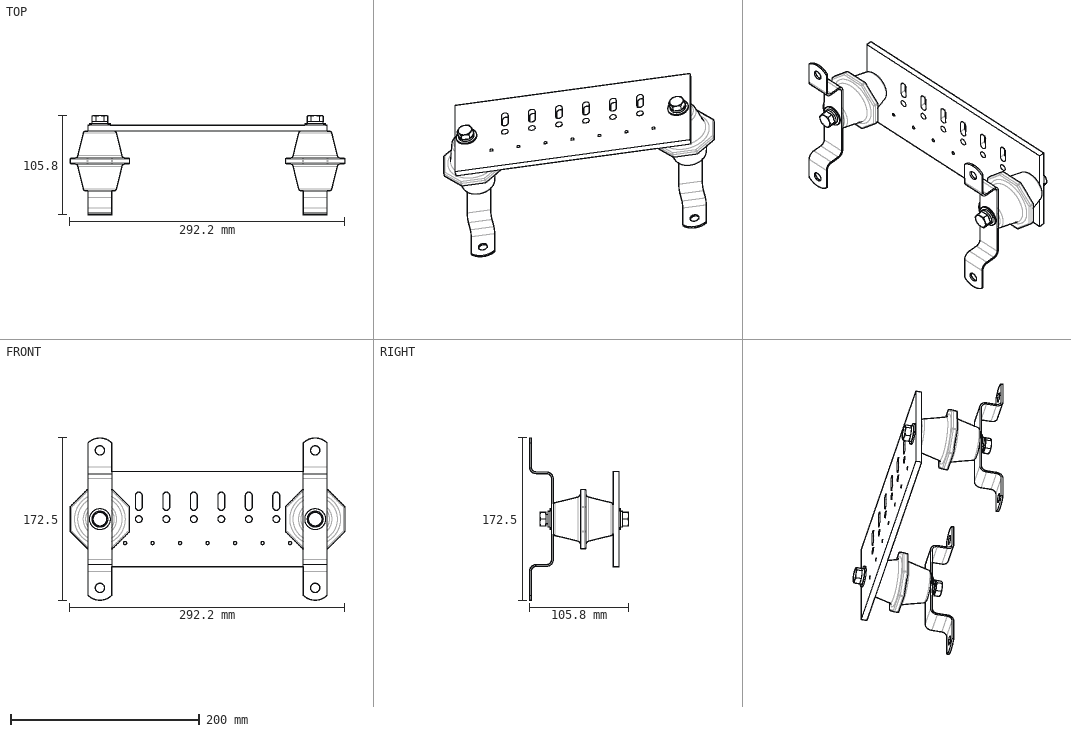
import cadquery as cq
import math


mount_spacing = 228.7
insulator_length = 63.5
flange_sides = 8
flange_width = 63.5
flange_thickness = 6.0
flange_round = 1.5
cone_root_radius = 24.2
cone_end_radius = 17.2
root_round = 3.5
end_round = 2.5

stud_diameter = 10.2
washer_diameter = 22.2
washer_thickness = 1.5
lock_washer_diameter = 17.0
lock_washer_thickness = 2.3
hex_flats = 15.0
hex_height = 6.5
hex_face_diameter = 14.3
hex_chamfer_angle = 30
bracket_side_gap = 2.0

plate_height = 101.7
plate_thickness = 6.5
hole_pitch = 29.2
slot_count = 6
slot_width = 7.0
slot_length = 19.3
slot_height = 19.0
small_hole_count = 7
small_hole_diameter = 3.2
small_hole_drop = 25.5

bracket_width = 25.5
bracket_height = 172.5
sheet = 2.0
bend_inner_radius = 5.3
step_half_height = 50.2
step_depth = 25.5
foot_end_radius = 17.8
foot_hole_diameter = 9.5
foot_hole_height = 73.0

half_length = insulator_length / 2
half_flange = flange_thickness / 2
plate_length = mount_spacing + bracket_width
plate_back = half_length + plate_thickness
bracket_front = -half_length - sheet
mount_places = [-mount_spacing / 2, mount_spacing / 2]


def disc(diameter, start_y, end_y):
    """Cylinder along Y between two Y positions."""
    return (
        cq.Workplane("XZ", origin=(0, start_y, 0))
        .circle(diameter / 2)
        .extrude(start_y - end_y)
    )


def row(count):
    """X positions of an evenly pitched row centred on X = 0."""
    return [(i - (count - 1) / 2) * hole_pitch for i in range(count)]


def make_plate():
    plate = cq.Workplane("XY").box(plate_length, plate_thickness, plate_height)
    plate = plate.translate((0, half_length + plate_thickness / 2, 0))

    face = cq.Workplane("XZ", origin=(0, plate_back, 0))
    slots = (
        face.pushPoints([(x, slot_height) for x in row(slot_count)])
        .slot2D(slot_length, slot_width, 90)
        .extrude(plate_thickness)
    )
    round_holes = (
        face.pushPoints([(x, 0) for x in row(slot_count)])
        .circle(slot_width / 2)
        .extrude(plate_thickness)
    )
    small_holes = (
        face.pushPoints([(x, -small_hole_drop) for x in row(small_hole_count)])
        .circle(small_hole_diameter / 2)
        .extrude(plate_thickness)
    )
    stud_holes = (
        face.pushPoints([(x, 0) for x in mount_places])
        .circle(stud_diameter / 2)
        .extrude(plate_thickness)
    )
    return plate.cut(slots).cut(round_holes).cut(small_holes).cut(stud_holes)


def make_flange():
    corner_diameter = flange_width / math.cos(math.pi / flange_sides)
    flange = (
        cq.Workplane("XZ", origin=(0, half_flange, 0))
        .polygon(flange_sides, corner_diameter)
        .extrude(flange_thickness)
        .rotate((0, 0, 0), (0, 1, 0), 180 / flange_sides)
    )
    return flange.edges().fillet(flange_round)


def make_cones():
    """Both tapered halves of the insulator, flared into the flange and rounded at the ends."""
    taper = math.atan2(cone_root_radius - cone_end_radius, half_length - half_flange)
    tangent_factor = math.tan((math.pi / 2 - taper) / 2)
    root_tangent = root_round * tangent_factor
    end_tangent = end_round * tangent_factor
    flare_radius = cone_root_radius + root_tangent
    flare_top = (
        cone_root_radius - root_tangent * math.sin(taper),
        half_flange + root_tangent * math.cos(taper),
    )
    end_start = (
        cone_end_radius + end_tangent * math.sin(taper),
        half_length - end_tangent * math.cos(taper),
    )
    cone = (
        cq.Workplane("XY")
        .lineTo(flare_radius, 0)
        .lineTo(flare_radius, half_flange)
        .radiusArc(flare_top, root_round)
        .lineTo(*end_start)
        .radiusArc((cone_end_radius - end_tangent, half_length), -end_round)
        .lineTo(0, half_length)
        .close()
        .revolve(360, (0, 0, 0), (0, 1, 0))
    )
    return cone.union(cone.mirror("XZ"))


def make_hex_head(start_y):
    """Hex head with corners on X, its outer corners turned down by a shallow cone."""
    corner_radius = hex_flats / 2 / math.cos(math.pi / 6)
    face_radius = hex_face_diameter / 2
    corner_drop = (corner_radius - face_radius) * math.tan(math.radians(hex_chamfer_angle))
    end_y = start_y + hex_height
    prism = (
        cq.Workplane("XZ", origin=(0, start_y, 0))
        .polygon(6, 2 * corner_radius)
        .extrude(-hex_height)
    )
    envelope = (
        cq.Workplane("XY")
        .moveTo(0, start_y)
        .lineTo(corner_radius, start_y)
        .lineTo(corner_radius, end_y - corner_drop)
        .lineTo(face_radius, end_y)
        .lineTo(0, end_y)
        .close()
        .revolve(360, (0, 0, 0), (0, 1, 0))
    )
    return prism.intersect(envelope)


def make_fastener(seat, gap):
    """Stud, washers and hex head behind a seat face at Y = seat; gap leaves bare stud below the head."""
    washer_end = seat + washer_thickness
    lock_end = washer_end + lock_washer_thickness
    head_start = lock_end + gap
    return (
        disc(stud_diameter, 0, head_start)
        .union(disc(washer_diameter, seat, washer_end))
        .union(disc(lock_washer_diameter, washer_end, lock_end))
        .union(make_hex_head(head_start))
    )


def make_insulator(x):
    rear = make_fastener(plate_back, 0)
    front = make_fastener(-bracket_front, bracket_side_gap).mirror("XZ")
    body = make_flange().union(make_cones()).union(rear).union(front)
    return body.translate((x, 0, 0))


def make_bracket(x):
    foot_front = -half_length - step_depth
    foot_back = foot_front + sheet
    leg_inner = step_half_height - sheet
    half_height = bracket_height / 2
    bend_outer_radius = bend_inner_radius + sheet

    strip = (
        cq.Workplane("YZ", origin=(-bracket_width / 2, 0, 0))
        .moveTo(-half_length, 0)
        .lineTo(-half_length, step_half_height - bend_outer_radius)
        .radiusArc((-half_length - bend_outer_radius, step_half_height), -bend_outer_radius)
        .lineTo(foot_back + bend_inner_radius, step_half_height)
        .radiusArc((foot_back, step_half_height + bend_inner_radius), bend_inner_radius)
        .lineTo(foot_back, half_height)
        .lineTo(foot_front, half_height)
        .lineTo(foot_front, leg_inner + bend_outer_radius)
        .radiusArc((foot_front + bend_outer_radius, leg_inner), -bend_outer_radius)
        .lineTo(bracket_front - bend_inner_radius, leg_inner)
        .radiusArc((bracket_front, leg_inner - bend_inner_radius), bend_inner_radius)
        .lineTo(bracket_front, 0)
        .close()
        .extrude(bracket_width)
    )
    strip = strip.union(strip.mirror("XY"))

    half_width = bracket_width / 2
    end_rise = foot_end_radius - math.sqrt(foot_end_radius**2 - half_width**2)
    side_height = half_height - end_rise
    outline = (
        cq.Workplane("XZ", origin=(0, foot_front, 0))
        .moveTo(-half_width, -side_height)
        .lineTo(-half_width, side_height)
        .threePointArc((0, half_height), (half_width, side_height))
        .lineTo(half_width, -side_height)
        .threePointArc((0, -half_height), (-half_width, -side_height))
        .close()
        .extrude(-step_depth)
    )
    bracket = strip.intersect(outline)

    foot_holes = (
        cq.Workplane("XZ", origin=(0, foot_front, 0))
        .pushPoints([(0, foot_hole_height), (0, -foot_hole_height)])
        .circle(foot_hole_diameter / 2)
        .extrude(-sheet)
    )
    stud_hole = disc(stud_diameter, bracket_front, -half_length)
    return bracket.cut(foot_holes).cut(stud_hole).translate((x, 0, 0))


plate = make_plate()
insulators = [make_insulator(x) for x in mount_places]
brackets = [make_bracket(x) for x in mount_places]

result = cq.Compound.makeCompound(
    [plate.val()]
    + [insulator.val() for insulator in insulators]
    + [bracket.val() for bracket in brackets]
)